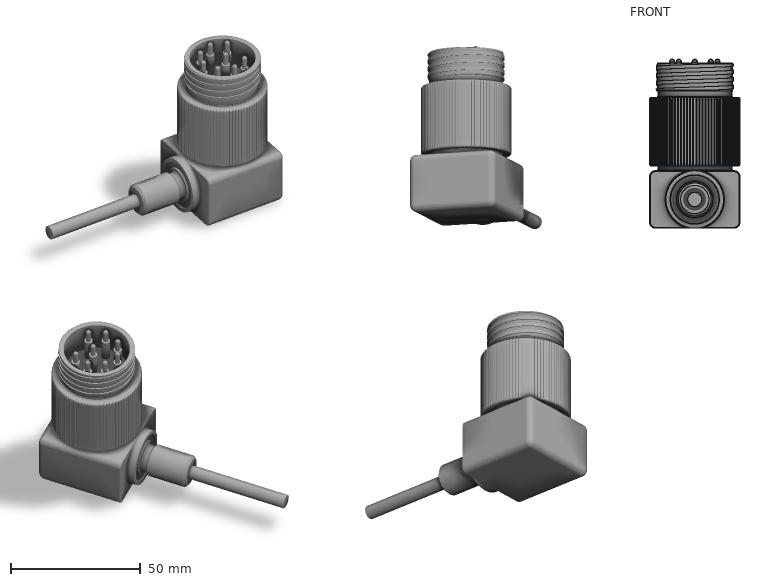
import cadquery as cq
import math

block_side = 34.925
block_height = 22.225
block_edge_radius = 2.38
block_front_chamfer = 0.3
block_front_y = -block_side / 2
block_back_y = block_side / 2

collar_diameter = 34.925
collar_gap = 1.8
collar_bottom_z = block_height + collar_gap
collar_top_z = 50.55
collar_edge_radius = 0.8
knurl_count = 90
knurl_width = 0.35
knurl_depth = 0.3

neck_diameter = 28.57
shoulder_height = 0.27
shell_diameter = 28.96
shell_top_z = collar_top_z + 13.2
bore_diameter = 25.4
bore_chamfer = 0.25
bore_floor_z = 51.0

thread_diameter = 29.74
thread_bottom_z = 52.9
thread_pitch = 2.92
thread_groove_width = 1.55
thread_groove_mid_z = 58.2
thread_chamfer = (thread_diameter - shell_diameter) / 2

pin_diameter = 1.99
pin_top_z = 65.27
sleeve_diameter = 3.17
sleeve_top_z = 60.0
pin_circle_radius = 8.73
pin_ring_angles = [0, 45, 135, 180, 225, 270, 315]
inner_pin_y = 1.5

outlet_z = block_height / 2
flange_diameter = block_height
flange_thickness = 3.175
flange_root_flare = 0.33
face_groove_outer_diameter = 19.05
face_groove_inner_diameter = 14.28
face_groove_taper = 0.18
face_groove_depth = 0.8
outlet_neck_diameter = 10.92
outlet_neck_length = 2.38
outlet_neck_flare = 0.4
outlet_neck_flare_length = 0.6
barrel_diameter = 12.7
barrel_length = 16.67
barrel_chamfer = (barrel_diameter - outlet_neck_diameter) / 2
cable_diameter = 5.46
overall_length = 97.03
cable_end_y = block_back_y - overall_length

overlap = 0.5


def cylinder(diameter, bottom_z, top_z):
    """Upright cylinder on the Z axis."""
    return cq.Workplane("XY").workplane(offset=bottom_z).circle(diameter / 2).extrude(top_z - bottom_z)


def make_block():
    block = cq.Workplane("XY").box(block_side, block_side, block_height, centered=(True, True, False))
    block = block.edges("|Y or >Y").fillet(block_edge_radius)
    return block.faces("<Y").edges().chamfer(block_front_chamfer)


def make_collar():
    collar = cylinder(collar_diameter, collar_bottom_z, collar_top_z)
    collar = collar.faces("<Z or >Z").edges().fillet(collar_edge_radius)
    grooves = (
        cq.Workplane("XY")
        .workplane(offset=collar_bottom_z)
        .polarArray(collar_diameter / 2, 0, 360, knurl_count)
        .rect(2 * knurl_depth, knurl_width)
        .extrude(collar_top_z - collar_bottom_z)
    )
    return collar.cut(grooves)


def make_groove_turn():
    """One full turn of the thread groove, starting on the -Y side at Z = 0."""
    bottom_radius = shell_diameter / 2 - overlap
    top_radius = thread_diameter / 2 + overlap
    middle_radius = (bottom_radius + top_radius) / 2
    helix = cq.Workplane(cq.Wire.makeHelix(thread_pitch, thread_pitch, middle_radius))
    turn = (
        cq.Workplane("XZ")
        .center(middle_radius, 0)
        .rect(top_radius - bottom_radius, thread_groove_width)
        .sweep(helix, isFrenet=True)
    )
    return turn.rotate((0, 0, 0), (0, 0, 1), -90)


def make_thread():
    """Thread ridge ring: its groove is cut deeper than the shell surface, which then fills the root."""
    crest_radius = thread_diameter / 2
    root_radius = shell_diameter / 2
    inner_radius = root_radius - 2 * overlap
    profile = [
        (inner_radius, thread_bottom_z),
        (root_radius, thread_bottom_z),
        (crest_radius, thread_bottom_z + thread_chamfer),
        (crest_radius, shell_top_z - thread_chamfer),
        (root_radius, shell_top_z),
        (inner_radius, shell_top_z),
    ]
    thread = cq.Workplane("XZ").polyline(profile).close().revolve(360, (0, 0, 0), (0, 1, 0))

    turns_below = math.ceil((thread_groove_mid_z - thread_bottom_z) / thread_pitch)
    turns_above = math.ceil((shell_top_z - thread_groove_mid_z) / thread_pitch)
    groove_turn = make_groove_turn()
    for turn in range(-turns_below - 1, turns_above + 1):
        turn_z = thread_groove_mid_z + turn * thread_pitch
        thread = thread.cut(groove_turn.translate((0, 0, turn_z)))
    return thread


def make_shell():
    shell = cylinder(neck_diameter, block_height - overlap, thread_bottom_z + overlap)
    shell = shell.union(cylinder(shell_diameter, block_height - overlap, block_height + shoulder_height))
    shell = shell.union(cylinder(shell_diameter, collar_top_z - overlap, collar_top_z + shoulder_height))
    shell = shell.union(cylinder(shell_diameter, thread_bottom_z, shell_top_z))
    return shell.union(make_thread())


def make_bore():
    """Contact cavity with a small chamfer at its mouth."""
    bore_radius = bore_diameter / 2
    profile = [
        (0, bore_floor_z),
        (bore_radius, bore_floor_z),
        (bore_radius, shell_top_z - bore_chamfer),
        (bore_radius + bore_chamfer, shell_top_z),
        (0, shell_top_z),
    ]
    return cq.Workplane("XZ").polyline(profile).close().revolve(360, (0, 0, 0), (0, 1, 0))


def make_pin(x, y):
    """Round-tipped contact standing in a wider insulating sleeve."""
    pin = cylinder(pin_diameter, bore_floor_z - overlap, pin_top_z - pin_diameter / 2)
    tip = cq.Workplane("XY").sphere(pin_diameter / 2).translate((0, 0, pin_top_z - pin_diameter / 2))
    sleeve = cylinder(sleeve_diameter, bore_floor_z - overlap, sleeve_top_z)
    return pin.union(tip).union(sleeve).translate((x, y, 0))


def pin_positions():
    positions = [(0, inner_pin_y)]
    for angle in pin_ring_angles:
        turn = math.radians(angle)
        positions.append((pin_circle_radius * math.cos(turn), pin_circle_radius * math.sin(turn)))
    return positions


def make_outlet():
    """Flange, neck, barrel and cable revolved from one half profile of (radius, y) points."""
    flange_radius = flange_diameter / 2
    neck_radius = outlet_neck_diameter / 2
    barrel_radius = barrel_diameter / 2
    cable_radius = cable_diameter / 2
    groove_outer_radius = face_groove_outer_diameter / 2
    groove_inner_radius = face_groove_inner_diameter / 2
    flange_front_y = block_front_y - flange_thickness
    groove_floor_y = flange_front_y + face_groove_depth
    barrel_start_y = flange_front_y - outlet_neck_length
    barrel_end_y = barrel_start_y - barrel_length

    profile = [
        (0, block_front_y + overlap),
        (flange_radius + flange_root_flare, block_front_y + overlap),
        (flange_radius + flange_root_flare, block_front_y),
        (flange_radius, block_front_y - flange_root_flare),
        (flange_radius, flange_front_y),
        (groove_outer_radius, flange_front_y),
        (groove_outer_radius - face_groove_taper, groove_floor_y),
        (groove_inner_radius, groove_floor_y),
        (groove_inner_radius - face_groove_taper, flange_front_y),
        (neck_radius + outlet_neck_flare, flange_front_y),
        (neck_radius, flange_front_y - outlet_neck_flare_length),
        (neck_radius, barrel_start_y),
        (barrel_radius, barrel_start_y - barrel_chamfer),
        (barrel_radius, barrel_end_y + barrel_chamfer),
        (barrel_radius - barrel_chamfer, barrel_end_y),
        (cable_radius, barrel_end_y),
        (cable_radius, cable_end_y),
        (0, cable_end_y),
    ]
    outlet = cq.Workplane("XY").polyline(profile).close().revolve(360, (0, 0, 0), (0, 1, 0))
    outlet = outlet.translate((0, 0, outlet_z))
    height_limit = cq.Workplane("XY").box(
        block_side, 2 * overall_length, block_height, centered=(True, True, False)
    )
    return outlet.intersect(height_limit)


result = make_block().union(make_shell()).union(make_collar())
result = result.cut(make_bore())
for pin_x, pin_y in pin_positions():
    result = result.union(make_pin(pin_x, pin_y))
result = result.union(make_outlet())